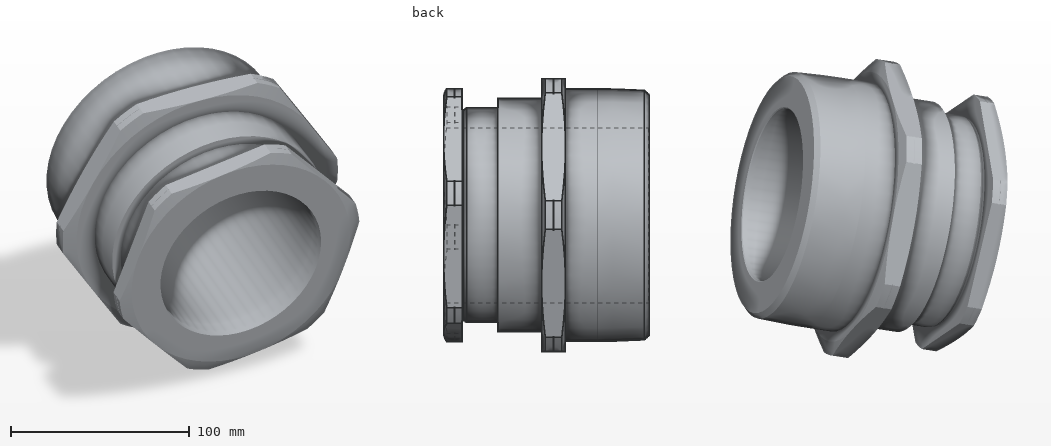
import cadquery as cq
import math

overall_length = 115.0

cap_face_radius = 67.0
cap_rim_radius = 69.7
cap_radius = 70.5
cap_chamfer_length = 2.8
cap_dome_end = 29.2

large_hex_start = 47.0
large_hex_thickness = 13.2
large_hex_flats = 152.5
large_hex_corner_diameter = 167.5

body_radius = 65.2
neck_start = 84.6
neck_radius = 60.0
neck_end = 102.0
relief_radius = 58.6
relief_end = 103.9
collar_radius = 59.1

small_hex_thickness = 10.4
small_hex_flats = 133.0
small_hex_corner_diameter = 146.5
small_hex_turn = 9.6

hex_bevel_angle = 15.0
corner_groove_width = 0.5
corner_groove_depth = 0.2
bore_radius = 49.0
bore_chamfer = 0.5

large_hex_end = large_hex_start + large_hex_thickness
small_hex_start = overall_length - small_hex_thickness


def revolve_profile(profile):
    """Solid of revolution from a closed profile of X against radius."""
    return profile.close().revolve(360, (0, 0, 0), (1, 0, 0))


def bevelled_hexagon(start, thickness, flats, corner_diameter, turn, bevel_front):
    """Hexagon with rounded-off corners, a hairline groove across them and bevelled faces."""
    end = start + thickness
    corner_radius = corner_diameter / 2
    face_radius = flats / 2
    bevel_length = (corner_radius - face_radius) * math.tan(math.radians(hex_bevel_angle))
    band_start = start + bevel_length if bevel_front else start
    band_end = end - bevel_length
    groove_start = (band_start + band_end - corner_groove_width) / 2
    groove_end = groove_start + corner_groove_width
    groove_radius = corner_radius - corner_groove_depth

    envelope = cq.Workplane("XY").moveTo(start, 0)
    if bevel_front:
        envelope = envelope.lineTo(start, face_radius)
    envelope = (
        envelope.lineTo(band_start, corner_radius)
        .lineTo(groove_start, corner_radius)
        .lineTo(groove_start, groove_radius)
        .lineTo(groove_end, groove_radius)
        .lineTo(groove_end, corner_radius)
        .lineTo(band_end, corner_radius)
        .lineTo(end, face_radius)
        .lineTo(end, 0)
    )
    point_diameter = flats / math.cos(math.pi / 6)
    prism = (
        cq.Workplane("YZ", origin=(start, 0, 0))
        .polygon(6, point_diameter)
        .extrude(thickness)
        .rotate((0, 0, 0), (1, 0, 0), turn)
    )
    return prism.intersect(revolve_profile(envelope))


def domed_cap():
    """Cap whose slightly domed side runs tangent into a plain cylinder."""
    dome_length = cap_dome_end - cap_chamfer_length
    dome_rise = cap_radius - cap_rim_radius
    dome_curve_radius = (dome_length**2 + dome_rise**2) / (2 * dome_rise)
    mid_length = dome_length / 2
    mid_drop = dome_curve_radius - math.sqrt(dome_curve_radius**2 - mid_length**2)
    dome_middle = (cap_dome_end - mid_length, cap_radius - mid_drop)
    return revolve_profile(
        cq.Workplane("XY")
        .moveTo(0, 0)
        .lineTo(0, cap_face_radius)
        .lineTo(cap_chamfer_length, cap_rim_radius)
        .threePointArc(dome_middle, (cap_dome_end, cap_radius))
        .lineTo(large_hex_start, cap_radius)
        .lineTo(large_hex_start, 0)
    )


def turned_body():
    """Body and neck, then a tapered relief and short collar in front of the small hexagon."""
    return revolve_profile(
        cq.Workplane("XY")
        .moveTo(large_hex_end, 0)
        .lineTo(large_hex_end, body_radius)
        .lineTo(neck_start, body_radius)
        .lineTo(neck_start, neck_radius)
        .lineTo(neck_end, neck_radius)
        .lineTo(relief_end, relief_radius)
        .lineTo(small_hex_start, collar_radius)
        .lineTo(small_hex_start, 0)
    )


def bore():
    """Through bore with a small chamfer at the front mouth."""
    return revolve_profile(
        cq.Workplane("XY")
        .moveTo(0, 0)
        .lineTo(0, bore_radius + bore_chamfer)
        .lineTo(bore_chamfer, bore_radius)
        .lineTo(overall_length, bore_radius)
        .lineTo(overall_length, 0)
    )


large_hexagon = bevelled_hexagon(
    large_hex_start,
    large_hex_thickness,
    large_hex_flats,
    large_hex_corner_diameter,
    turn=0,
    bevel_front=True,
)
small_hexagon = bevelled_hexagon(
    small_hex_start,
    small_hex_thickness,
    small_hex_flats,
    small_hex_corner_diameter,
    turn=small_hex_turn,
    bevel_front=False,
)

result = domed_cap().union(large_hexagon).union(turned_body()).union(small_hexagon).cut(bore())